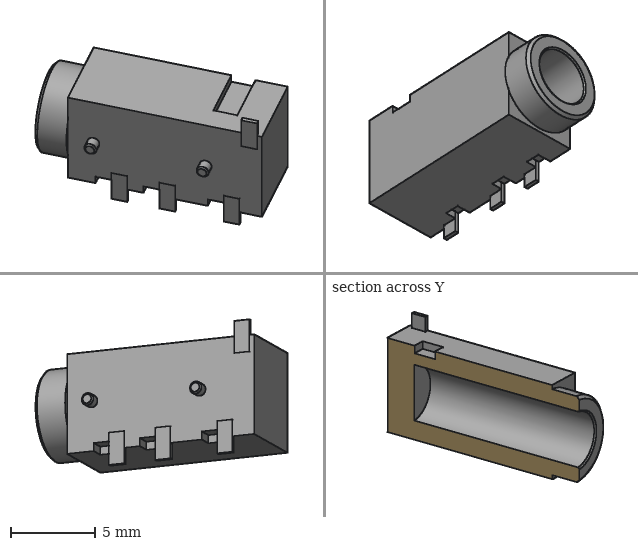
import cadquery as cq


TOTAL_LENGTH = 14.1
COLLAR_LENGTH = 2.0
COLLAR_DIAMETER = 5.6
COLLAR_CHAMFER = 0.2
BLOCK_DEPTH = 4.99
BLOCK_HEIGHT = 6.1
BLOCK_LENGTH = TOTAL_LENGTH - COLLAR_LENGTH
BLOCK_FRONT = -BLOCK_DEPTH / 2
BLOCK_BACK = BLOCK_DEPTH / 2
BLOCK_TOP = BLOCK_HEIGHT / 2
BLOCK_BOTTOM = -BLOCK_HEIGHT / 2

BORE_DIAMETER = 3.6
BORE_CHAMFER = 0.1
REAR_WALL = COLLAR_LENGTH
BORE_DEPTH = TOTAL_LENGTH - REAR_WALL

PEG_DIAMETER = 0.75
PEG_LENGTH = 0.7
PEG_CHAMFER = 0.1
PEG_PITCH = 7.0
FIRST_PEG_X = 3.6
PEG_XS = [FIRST_PEG_X, FIRST_PEG_X + PEG_PITCH]

POCKET_X = PEG_XS[-1]
POCKET_WIDTH = 1.5
POCKET_LENGTH = 3.5
POCKET_DEPTH = 0.5

OVERALL_HEIGHT = 8.0
TERMINAL_WIDTH = 0.99
TERMINAL_LENGTH = 1.97
TERMINAL_THICKNESS = 0.25
BOTTOM_TERMINAL_XS = [4.71, 7.7, 11.7]
TOP_TERMINAL_X = 12.8
BOTTOM_TERMINAL_Z = -OVERALL_HEIGHT / 2
TOP_TERMINAL_Z = OVERALL_HEIGHT / 2 - TERMINAL_LENGTH

NOTCH_WIDTH = TERMINAL_WIDTH
NOTCH_HEIGHT = 0.5
NOTCH_DEPTH = NOTCH_WIDTH


def box_from_corner(x, y, z, length, depth, height):
    """Box whose lowest corner in X, Y and Z is the given point."""
    return cq.Workplane("XY").box(length, depth, height, centered=False).translate((x, y, z))


def make_terminal(x, z):
    """Flat terminal with its outer side in the front face of the block."""
    return box_from_corner(x, BLOCK_FRONT, z, TERMINAL_WIDTH, TERMINAL_THICKNESS, TERMINAL_LENGTH)


def make_block_and_collar():
    block = box_from_corner(
        COLLAR_LENGTH, BLOCK_FRONT, BLOCK_BOTTOM, BLOCK_LENGTH, BLOCK_DEPTH, BLOCK_HEIGHT
    )
    collar = (
        cq.Workplane("YZ")
        .circle(COLLAR_DIAMETER / 2)
        .extrude(COLLAR_LENGTH)
        .faces("<X")
        .chamfer(COLLAR_CHAMFER)
    )
    return block.union(collar)


def make_bore():
    """Cutter for the plug bore, with its chamfered mouth."""
    radius = BORE_DIAMETER / 2
    return (
        cq.Workplane("XY")
        .polyline(
            [
                (0, 0),
                (0, radius + BORE_CHAMFER),
                (BORE_CHAMFER, radius),
                (BORE_DEPTH, radius),
                (BORE_DEPTH, 0),
            ]
        )
        .close()
        .revolve(360, (0, 0, 0), (1, 0, 0))
    )


def make_peg(x):
    return (
        cq.Workplane("XZ", origin=(x, BLOCK_FRONT, 0))
        .circle(PEG_DIAMETER / 2)
        .extrude(PEG_LENGTH)
        .faces("<Y")
        .chamfer(PEG_CHAMFER)
    )


def make_pocket():
    return box_from_corner(
        POCKET_X,
        BLOCK_BACK - POCKET_LENGTH,
        BLOCK_TOP - POCKET_DEPTH,
        POCKET_WIDTH,
        POCKET_LENGTH,
        POCKET_DEPTH,
    )


def make_notch(terminal_x):
    return box_from_corner(
        terminal_x - NOTCH_WIDTH, BLOCK_FRONT, BLOCK_BOTTOM, NOTCH_WIDTH, NOTCH_DEPTH, NOTCH_HEIGHT
    )


def make_housing(terminals):
    housing = make_block_and_collar().cut(make_bore()).cut(make_pocket())
    for x in PEG_XS:
        housing = housing.union(make_peg(x))
    for x in BOTTOM_TERMINAL_XS:
        housing = housing.cut(make_notch(x))
    for terminal in terminals:
        housing = housing.cut(terminal)
    return housing


terminals = [make_terminal(x, BOTTOM_TERMINAL_Z) for x in BOTTOM_TERMINAL_XS]
terminals.append(make_terminal(TOP_TERMINAL_X, TOP_TERMINAL_Z))
housing = make_housing(terminals)

result = cq.Compound.makeCompound(
    [housing.solids().val(), *[terminal.val() for terminal in terminals]]
)